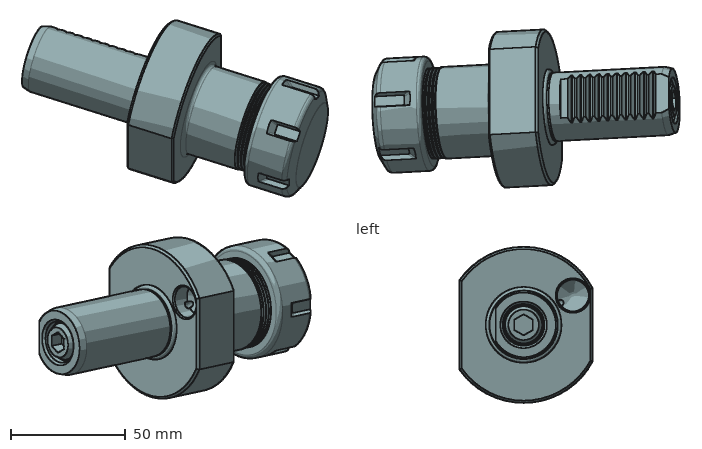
import cadquery as cq
import math

shank_radius = 15.0
shank_chamfer_length = 3.2
shank_chamfer_depth = 0.9
relief_start = 52.6
relief_depth = 0.1

flat_offset = 12.1
flat_length = 47.8
groove_count = 10
groove_row_length = 36.0
groove_pitch = groove_row_length / (groove_count - 1)
groove_depth = 1.7
groove_top_width = 3.1
groove_floor_width = 0.4
first_groove_x = 7.3

flange_start = 55.0
flange_end = 77.0
flange_radius = 68.0 / 2
flange_rear_chamfer = 1.0
flange_front_chamfer = 0.8
flat_plus_y = 28.0
flat_minus_y = 30.0

inlet_y = -21.5
inlet_z = 12.7
inlet_radius = 6.9
inlet_chamfer = 0.6
inlet_depth = 7.8
drill_point_angle = 118
channel_radius = 1.5
channel_offset = 0.4
channel_length = 11.7

neck_radius = 20.0
neck_fillet = 1.8
neck_end = 101.8
thread_radius = 19.8
thread_pitch = 1.5
thread_depth = 1.0
thread_groove_width = 1.24
nose_groove_count = 4
nose_groove_start = 102.3
nose_end = 119.6

nut_start = 107.5
nut_end = 130.0
nut_radius = 25.0
nut_rear_fillet = 2.0
cone_length = 3.2
cone_angle = 60
cone_fillet = 2.3
nut_front_fillet = 0.4

slot_count = 6
slot_floor_radius = 22.5
slot_floor_width = 4.5
slot_side_flare = 0.98
slot_end_flare = 3.1
slot_corner_fillet = 0.6
slot_cut_overshoot = 1.5
slot_start_minus_y = 114.5
slot_start_plus_y = 112.0

ring_radius = 15.2
ring_tube_radius = 1.3
ring_x = 54.7

plug_radius = 9.1
plug_length = 13.0
plug_face_radius = 6.6
plug_bevel_length = 4.4
plug_bore_chamfer = 1.0
plug_groove_count = 3
hex_sides = 6
hex_across_flats = 7.9
hex_depth = 6.0


def cylinder_x(start, length, radius):
    """Cylinder on the X axis."""
    return cq.Workplane("YZ").workplane(offset=start).circle(radius).extrude(length)


def revolve_x(points):
    """Revolve a closed (x, radius) outline about the X axis."""
    return cq.Workplane("XY").polyline(points).close().revolve(360, (0, 0, 0), (1, 0, 0))


def cut_thread_grooves(body, first_x, count, crest_radius):
    """Cut a row of ring-shaped V grooves at thread pitch."""
    half_width = thread_groove_width / 2
    for i in range(count):
        x = first_x + i * thread_pitch
        outside = crest_radius + thread_depth
        groove = revolve_x([
            (x, crest_radius - thread_depth),
            (x - half_width, crest_radius),
            (x - half_width, outside),
            (x + half_width, outside),
            (x + half_width, crest_radius),
        ])
        body = body.cut(groove)
    return body


def make_shank():
    relief_radius = shank_radius - relief_depth
    shank = revolve_x([
        (0, 0),
        (0, shank_radius - shank_chamfer_depth),
        (shank_chamfer_length, shank_radius),
        (relief_start, shank_radius),
        (relief_start, relief_radius),
        (flange_start, relief_radius),
        (flange_start, 0),
    ])
    flat_cut = cq.Workplane("XY").box(
        flat_length, shank_radius, 2 * shank_radius, centered=(False, False, True)
    ).translate((0, flat_offset, 0))
    shank = shank.cut(flat_cut)
    for i in range(groove_count):
        x = first_groove_x + i * groove_pitch
        groove = (
            cq.Workplane("XY")
            .polyline([
                (x - groove_top_width / 2, flat_offset),
                (x - groove_floor_width / 2, flat_offset - groove_depth),
                (x + groove_floor_width / 2, flat_offset - groove_depth),
                (x + groove_top_width / 2, flat_offset),
            ])
            .close()
            .extrude(shank_radius, both=True)
        )
        shank = shank.cut(groove)
    return shank


def make_flange():
    flange = cylinder_x(flange_start, flange_end - flange_start, flange_radius)
    flats = cq.Workplane("XY").box(
        2 * flange_end, flat_plus_y + flat_minus_y, 2 * flange_radius
    ).translate((0, (flat_plus_y - flat_minus_y) / 2, 0))
    flange = flange.intersect(flats)
    flange = flange.faces("<X").edges().chamfer(flange_rear_chamfer)
    return flange.faces(">X").edges().chamfer(flange_front_chamfer)


def make_neck():
    """Neck with a concave fillet against the flange, then the threaded nose."""
    fillet_radius = neck_radius + neck_fillet
    fillet_middle = neck_fillet * (1 - math.sqrt(0.5))
    neck = (
        cq.Workplane("XY")
        .moveTo(flange_end, 0)
        .lineTo(flange_end, fillet_radius)
        .threePointArc(
            (flange_end + fillet_middle, neck_radius + fillet_middle),
            (flange_end + neck_fillet, neck_radius),
        )
        .lineTo(neck_end, neck_radius)
        .lineTo(neck_end, thread_radius)
        .lineTo(nose_end, thread_radius)
        .lineTo(nose_end, 0)
        .close()
        .revolve(360, (0, 0, 0), (1, 0, 0))
    )
    return cut_thread_grooves(neck, nose_groove_start, nose_groove_count, thread_radius)


def make_inlet_cut():
    """Drilled hole with a countersunk rim, a drill point and a channel towards the axis."""
    point_depth = inlet_radius / math.tan(math.radians(drill_point_angle / 2))
    hole = revolve_x([
        (0, 0),
        (0, inlet_radius + inlet_chamfer),
        (inlet_chamfer, inlet_radius),
        (inlet_depth, inlet_radius),
        (inlet_depth + point_depth, 0),
    ]).translate((flange_start, inlet_y, inlet_z))
    mouth = cq.Vector(flange_start + inlet_depth - channel_offset, inlet_y, inlet_z)
    channel = cq.Solid.makeCylinder(
        channel_radius, channel_length, mouth, cq.Vector(0, -inlet_y, -inlet_z)
    )
    return hole.union(cq.Workplane(channel))


def make_plug_bore():
    return revolve_x([
        (0, 0),
        (0, plug_radius + plug_bore_chamfer),
        (plug_bore_chamfer, plug_radius),
        (plug_length, plug_radius),
        (plug_length, 0),
    ])


def make_ring():
    centre = cq.Vector(ring_x, 0, 0)
    return cq.Workplane(
        cq.Solid.makeTorus(ring_radius, ring_tube_radius, centre, cq.Vector(1, 0, 0))
    )


def make_holder():
    holder = make_shank().union(make_flange()).union(make_neck())
    holder = holder.cut(make_inlet_cut())
    holder = holder.cut(make_plug_bore())
    return holder.cut(make_ring())


def make_plug():
    """Threaded plug, flush with the shank end, with a bevelled tip and a hexagon socket."""
    plug = revolve_x([
        (0, 0),
        (0, plug_face_radius),
        (plug_bevel_length, plug_radius),
        (plug_length, plug_radius),
        (plug_length, 0),
    ])
    plug = cut_thread_grooves(plug, thread_pitch, plug_groove_count, plug_radius)
    across_corners = hex_across_flats / math.cos(math.pi / hex_sides)
    socket = (
        cq.Workplane("YZ")
        .transformed(rotate=(0, 0, 90))
        .polygon(hex_sides, across_corners)
        .extrude(hex_depth)
    )
    return plug.cut(socket)


def make_slot_cut(start):
    """Slot with flared sides and a ramped end, cut into the +Z side of the nut."""
    floor_start = start + slot_end_flare
    end = nut_end + cone_length
    depth = nut_radius - slot_floor_radius
    side_flare = slot_side_flare * slot_cut_overshoot
    end_flare = slot_end_flare * slot_cut_overshoot
    floor_length = end - floor_start
    slot = (
        cq.Workplane("XY", origin=(floor_start + floor_length / 2, 0, slot_floor_radius))
        .rect(floor_length, slot_floor_width)
        .workplane(offset=depth * slot_cut_overshoot)
        .center(-end_flare / 2, 0)
        .rect(floor_length + end_flare, slot_floor_width + 2 * side_flare)
        .loft(ruled=True)
    )
    return slot.faces("<X").edges("not(|Y)").fillet(slot_corner_fillet)


def make_nut():
    """Cap nut with a conical front, seated on the threaded nose."""
    cone_start = nut_end - cone_length
    cone_end_radius = nut_radius - cone_length * math.tan(math.radians(cone_angle))
    nut = revolve_x([
        (nut_start, 0),
        (nut_start, nut_radius),
        (cone_start, nut_radius),
        (nut_end, cone_end_radius),
        (nut_end, 0),
    ])
    nut = nut.faces("<X").edges().fillet(nut_rear_fillet)
    nut = nut.faces(">X").edges().fillet(nut_front_fillet)
    edge_margin = 0.1
    shoulder = cq.selectors.BoxSelector(
        (cone_start - edge_margin, -nut_radius, -nut_radius),
        (cone_start + edge_margin, nut_radius, nut_radius),
    )
    nut = nut.edges(shoulder).fillet(cone_fillet)
    nut = nut.cut(cylinder_x(nut_start, nose_end - nut_start, thread_radius))
    for i in range(slot_count):
        angle = 90 + i * 360 / slot_count
        faces_plus_y = math.sin(math.radians(angle)) < 0
        start = slot_start_plus_y if faces_plus_y else slot_start_minus_y
        slot = make_slot_cut(start).rotate((0, 0, 0), (1, 0, 0), angle)
        nut = nut.cut(slot)
    return nut


holder = make_holder()
nut = make_nut()
ring = make_ring()
plug = make_plug()

result = cq.Compound.makeCompound([holder.val(), nut.val(), ring.val(), plug.val()])